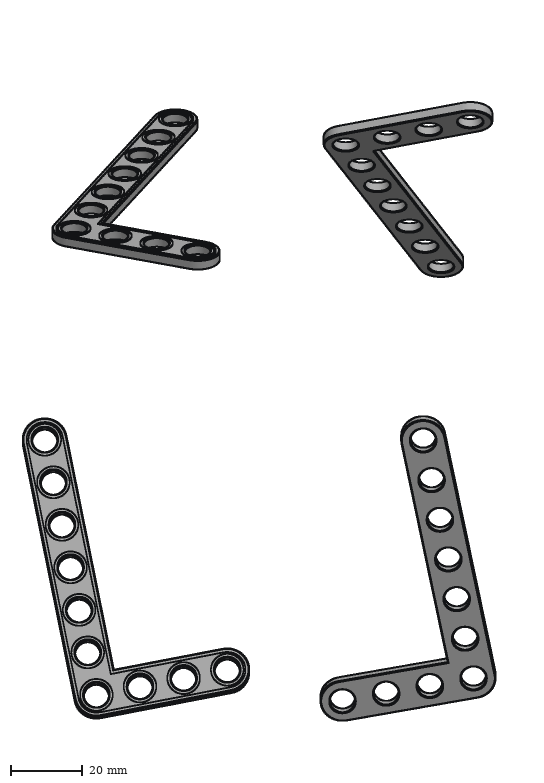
import cadquery as cq

long_arm_length = 87.5
long_arm_holes = 7
short_arm_holes = 4
thickness = 3.15
hole_diameter = 7.0
collar_diameter = 9.2
rim_width = 1.1
recess_depth = 0.2
edge_chamfer = 0.3

pitch = long_arm_length / long_arm_holes
arm_width = pitch
end_radius = arm_width / 2
short_arm_length = short_arm_holes * pitch

short_arm_centres = [(i * pitch, 0) for i in range(short_arm_holes)]
long_arm_centres = [(0, i * pitch) for i in range(1, long_arm_holes)]
hole_centres = short_arm_centres + long_arm_centres


def angle_prism(radius, height):
    """L-shaped prism whose edge lies one radius away from the arm centre lines."""
    long_span = long_arm_length - arm_width
    short_span = short_arm_length - arm_width
    long_arm = (
        cq.Workplane("XY")
        .center(0, long_span / 2)
        .slot2D(long_span + 2 * radius, 2 * radius, 90)
        .extrude(height)
    )
    short_arm = (
        cq.Workplane("XY")
        .center(short_span / 2, 0)
        .slot2D(short_span + 2 * radius, 2 * radius)
        .extrude(height)
    )
    return long_arm.union(short_arm).clean()


def cylinders(diameter, height):
    """One cylinder at every hole centre."""
    return cq.Workplane("XY").pushPoints(hole_centres).circle(diameter / 2).extrude(height)


plate = angle_prism(end_radius, thickness).faces("<Z or >Z").edges().chamfer(edge_chamfer)

recess = angle_prism(end_radius - rim_width, recess_depth).cut(cylinders(collar_diameter, recess_depth))
plate = plate.cut(recess.translate((0, 0, thickness - recess_depth)))

plate = plate.cut(cylinders(hole_diameter, thickness))
hole_edges = plate.faces("<Z or >Z").edges(cq.selectors.RadiusNthSelector(0))
result = hole_edges.chamfer(edge_chamfer)